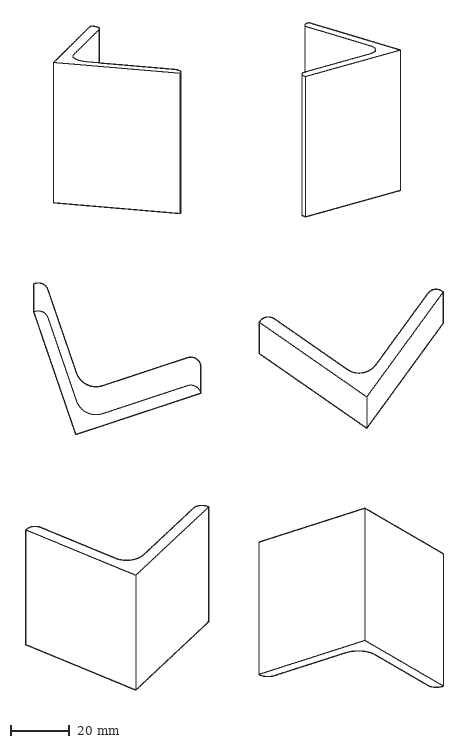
import cadquery as cq

leg = 45.0
thickness = 4.0
length = 50.0
root_radius = 7.0
toe_radius = 3.5

angle = (
    cq.Workplane("XY")
    .polyline([
        (0, 0),
        (leg, 0),
        (leg, thickness),
        (thickness, thickness),
        (thickness, leg),
        (0, leg),
    ])
    .close()
    .extrude(length)
)


def round_edge(body, x, y, radius):
    """Round the vertical edge nearest to the point (x, y)."""
    nearest = cq.selectors.NearestToPointSelector((x, y, length / 2))
    return body.edges("|Z").edges(nearest).fillet(radius)


angle = round_edge(angle, thickness, thickness, root_radius)
angle = round_edge(angle, leg, thickness, toe_radius)
angle = round_edge(angle, thickness, leg, toe_radius)

result = angle